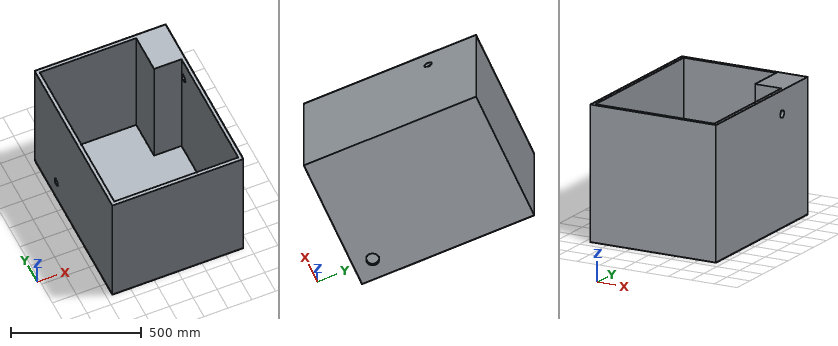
import cadquery as cq

width = 550.0
length = 720.0
height = 550.0
wall = 15.0
floor = 15.0

column_width = 130.0
column_length = 180.0

drain_diameter = 50.5
drain_inset = 80.0

pipe_diameter = 30.0
pipe_from_back = 200.0
pipe_from_edge = 95.0


def block(x_size, y_size, z_size, corner):
    """Box with its lowest corner at the given point."""
    return cq.Workplane("XY").box(x_size, y_size, z_size, centered=False).translate(corner)


def wall_hole(x_start, z):
    """Cylinder along X that crosses one side wall."""
    y = length - pipe_from_back
    return cq.Workplane("YZ", origin=(x_start, y, z)).circle(pipe_diameter / 2).extrude(wall)


cavity = block(width - 2 * wall, length - 2 * wall, height - floor, (wall, wall, floor))
column = block(column_width, column_length, height, (width - column_width, length - column_length, 0))
tank = block(width, length, height, (0, 0, 0)).cut(cavity).union(column)

drain = (
    cq.Workplane("XY")
    .center(drain_inset, drain_inset)
    .circle(drain_diameter / 2)
    .extrude(floor)
)
low_hole = wall_hole(0, pipe_from_edge)
high_hole = wall_hole(width - wall, height - pipe_from_edge)

result = tank.cut(drain).cut(low_hole).cut(high_hole)